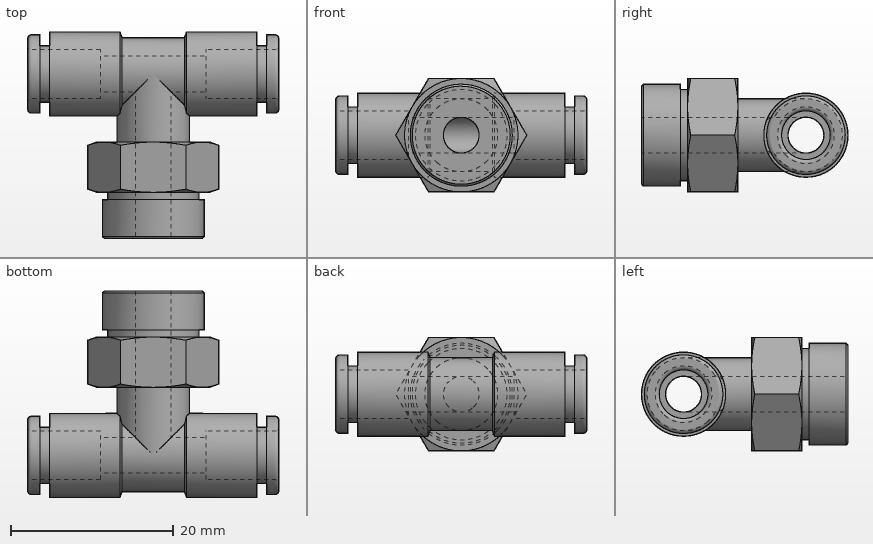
import cadquery as cq
import math

run_length = 31.0
run_half = run_length / 2
tube_radius = 4.5
sleeve_radius = 5.2
sleeve_inner_end = 3.85
sleeve_outer_end = 12.8
sleeve_cone_length = 0.25
neck_radius = 3.5
collar_radius = 4.85
collar_length = 1.5
collar_start = run_half - collar_length
collar_fillet = 0.5

bore_radius = 2.2
socket_radius = 3.0
socket_depth = 9.0
socket_fillet = 0.5

overall_depth = 25.5
branch_end = overall_depth - sleeve_radius
spigot_length = 4.8
groove_width = 0.9
hex_length = 6.2
spigot_start = branch_end - spigot_length
hex_end = spigot_start - groove_width
hex_start = hex_end - hex_length
hex_across_flats = 14.0
hex_across_corners = hex_across_flats / math.cos(math.radians(30))
hex_chamfer_angle = 20.0
groove_radius = 5.65
spigot_radius = 6.3
spigot_chamfer = 0.25


def cylinder_x(radius, start, end):
    """Cylinder on the X axis between two X positions."""
    return cq.Workplane("YZ").workplane(offset=start).circle(radius).extrude(end - start)


def cylinder_y(radius, start, end):
    """Cylinder on the branch axis between two distances along -Y."""
    return cq.Workplane("XZ").workplane(offset=start).circle(radius).extrude(end - start)


def make_port():
    """Sleeve, neck and release collar on the +X side."""
    sleeve = cylinder_x(sleeve_radius, sleeve_inner_end, sleeve_outer_end)
    shoulder_height = sleeve_radius - tube_radius
    sleeve = sleeve.faces("<X").edges().chamfer(sleeve_cone_length, shoulder_height)
    neck = cylinder_x(neck_radius, sleeve_outer_end, collar_start)
    collar = cylinder_x(collar_radius, collar_start, run_half)
    collar = collar.faces(">X").edges().fillet(collar_fillet)
    return sleeve.union(neck).union(collar)


def make_socket():
    """Tube socket cutter on the +X side, with a rounded mouth."""
    bottom = run_half - socket_depth
    mouth_radius = socket_radius + socket_fillet
    arc_offset = socket_fillet * math.sqrt(0.5)
    arc_middle = (run_half - socket_fillet + arc_offset, mouth_radius - arc_offset)
    profile = (
        cq.Workplane("XY")
        .moveTo(bottom, 0)
        .lineTo(bottom, socket_radius)
        .lineTo(run_half - socket_fillet, socket_radius)
        .threePointArc(arc_middle, (run_half, mouth_radius))
        .lineTo(run_half, 0)
        .close()
    )
    return profile.revolve(360, (0, 0, 0), (1, 0, 0))


def make_hexagon():
    """Hexagon with flats facing +Z and -Z and conical chamfers at both ends."""
    prism = (
        cq.Workplane("XZ")
        .workplane(offset=hex_start)
        .polygon(6, hex_across_corners)
        .extrude(hex_length)
    )
    face_radius = hex_across_flats / 2
    corner_radius = hex_across_corners / 2
    drop = (corner_radius - face_radius) * math.tan(math.radians(hex_chamfer_angle))
    envelope = (
        cq.Workplane("XY")
        .moveTo(0, -hex_start)
        .lineTo(face_radius, -hex_start)
        .lineTo(corner_radius, -hex_start - drop)
        .lineTo(corner_radius, -hex_end + drop)
        .lineTo(face_radius, -hex_end)
        .lineTo(0, -hex_end)
        .close()
        .revolve(360, (0, 0, 0), (0, 1, 0))
    )
    return prism.intersect(envelope)


def make_branch():
    """Hexagon, relief groove and threaded spigot, thread left plain."""
    groove = cylinder_y(groove_radius, hex_end, spigot_start)
    spigot = cylinder_y(spigot_radius, spigot_start, branch_end)
    spigot = spigot.faces("<Y").chamfer(spigot_chamfer)
    return make_hexagon().union(groove).union(spigot)


def both_sides(shape):
    """The shape together with its mirror image across the YZ plane."""
    return shape.union(shape.mirror("YZ"))


run_tube = cylinder_x(tube_radius, -sleeve_outer_end, sleeve_outer_end)
branch_tube = cylinder_y(tube_radius, 0, hex_start)
body = run_tube.union(branch_tube)
body = body.union(both_sides(make_port())).union(make_branch())

run_bore = cylinder_x(bore_radius, -run_half, run_half)
branch_bore = cylinder_y(bore_radius, 0, branch_end)
body = body.cut(run_bore).cut(branch_bore)
socket = make_socket()
result = body.cut(socket).cut(socket.mirror("YZ"))